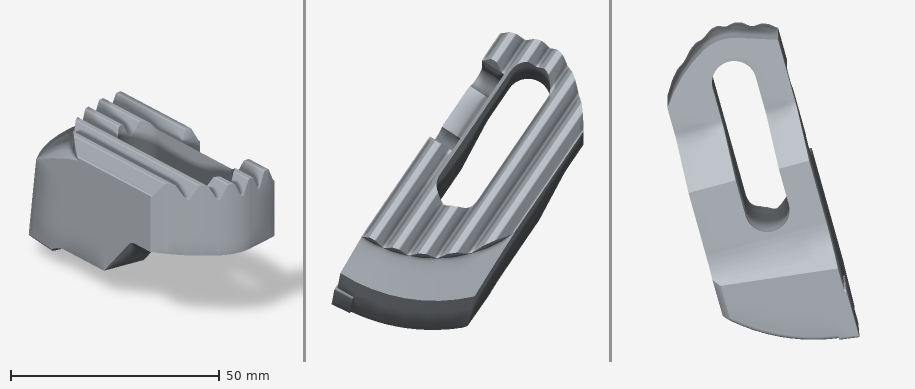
import cadquery as cq
import math

LENGTH = 76.0
WIDTH = 30.0
TOP_Z = 35.2
MARGIN = 3.8
BACK_Y = 0.0
FRONT_Y = -WIDTH

NOSE_AXIS_X = 44.15
CROWN_RADIUS = 31.85
CROWN_BASE_Z = 30.8
SHOULDER_RADIUS = 41.05
SHOULDER_Z = 25.4
WALL_LEAN = 6.0

TIP_BACK_X = 72.4
TIP_START = (75.5, -9.3)
TIP_END = (74.7, -17.85)
TIP_CURVE_MIDDLE = (70.4, -23.95)
TIP_FRONT_X = 63.3

FOOT_Z = 17.0
KEEL_Z = 5.8
STEP_X = 44.15
STEP_FILLET = 3.65
HEEL_X = 28.35
HEEL_RADIUS = 11.0
RAMP_ANGLE = 45.0
SOLE_LOW_X = 18.0
SOLE_TILT_X = 5.0
SOLE_TILT_Y = 6.0
SOLE_CHAMFER_UP = 1.3
SOLE_CHAMFER_IN = 1.6
SOLE_FILLET = 0.8

TOOTH_COUNT = 5
TOOTH_PITCH = WIDTH / TOOTH_COUNT
TOOTH_TOP = 1.6
TOOTH_GAP = 0.6
TOOTH_HEIGHT = 3.7
TOOTH_ROUNDING = 0.45
VALLEY_Z = TOP_Z - TOOTH_HEIGHT

SLOT_X = (29.7, 70.4)
SLOT_Y = -12.9
SLOT_WIDTH = 10.7

WINDOW_X = (41.9, 64.45)
WINDOW_DEPTH_Y = 6.45
WINDOW_FLARE = 0.75
GROOVE_WIDTH = 5.25
LAND_Z = 22.8

PLATE_LENGTH = 12.5
PLATE_HEIGHT = 12.55
PLATE_FILLET = 0.7
PLATE_PROUD = 0.45
PLATE_INNER_Y = -4.4
PLATE_CORNER = (-0.1, 0, 1.5)
PLATE_TURN = 6.0

LETTER_STROKE = 1.6
LETTER_DEPTH = 0.75
LETTER_PATH = [
    (25.45, 18.25), (24.5, 20.75), (22.0, 21.8), (19.45, 20.75), (18.55, 18.3), (20.1, 16.2),
    (24.0, 14.6), (25.85, 12.15), (24.8, 9.8), (22.3, 8.8), (19.6, 9.8), (18.25, 12.9),
]


def nose_envelope():
    """Crown, conical shoulder and leaning wall, open toward the tip."""
    bottom_z = -MARGIN
    bottom_radius = SHOULDER_RADIUS + (SHOULDER_Z - bottom_z) * math.tan(math.radians(WALL_LEAN))
    rings = (
        cq.Workplane("XZ", origin=(NOSE_AXIS_X, 0, 0))
        .polyline([
            (0, bottom_z),
            (bottom_radius, bottom_z),
            (SHOULDER_RADIUS, SHOULDER_Z),
            (CROWN_RADIUS, CROWN_BASE_Z),
            (CROWN_RADIUS, TOP_Z),
            (0, TOP_Z),
        ])
        .close()
        .revolve(360, (0, 0), (0, 1))
    )
    plan = (
        cq.Workplane("XY", origin=(0, 0, bottom_z))
        .polyline([(-MARGIN, BACK_Y), (NOSE_AXIS_X, BACK_Y), (NOSE_AXIS_X, FRONT_Y), (-MARGIN, FRONT_Y)])
        .close()
        .extrude(TOP_Z - bottom_z)
    )
    return rings.intersect(plan)


def tip_block():
    """The straight part of the block with its rounded tip."""
    return (
        cq.Workplane("XY", origin=(0, 0, -MARGIN))
        .moveTo(NOSE_AXIS_X, BACK_Y)
        .lineTo(TIP_BACK_X, BACK_Y)
        .lineTo(*TIP_START)
        .tangentArcPoint(TIP_END, relative=False)
        .threePointArc(TIP_CURVE_MIDDLE, (TIP_FRONT_X, FRONT_Y))
        .lineTo(NOSE_AXIS_X, FRONT_Y)
        .close()
        .extrude(TOP_Z + MARGIN)
    )


def space_below_sole():
    """A large block whose tilted top is the plane of the sole."""
    size = 4 * WIDTH
    return (
        cq.Workplane("XY")
        .box(size, size, size, centered=(True, True, False))
        .translate((0, 0, -size))
        .rotate((0, 0, 0), (1, 0, 0), -SOLE_TILT_Y)
        .rotate((0, 0, 0), (0, 1, 0), SOLE_TILT_X)
        .translate((SOLE_LOW_X, BACK_Y, 0))
    )


def nose():
    """Nose with its slanted sole, chamfered at the front face and rounded at the curved wall."""
    body = nose_envelope().cut(space_below_sole())
    body = body.faces("<Z").edges("<Y").chamfer(SOLE_CHAMFER_UP, SOLE_CHAMFER_IN)
    return body.faces("<Z").edges("<X").fillet(SOLE_FILLET)


def underside_cutter():
    """Everything below the foot, the sloped step, the keel and the rounded heel with its ramp."""
    def heel_point(degrees):
        angle = math.radians(degrees)
        return HEEL_X - HEEL_RADIUS * math.sin(angle), KEEL_Z - HEEL_RADIUS * (1 - math.cos(angle))

    heel_end = heel_point(RAMP_ANGLE)
    bottom_z = -2 * MARGIN
    slope = math.tan(math.radians(RAMP_ANGLE))
    ramp_bottom_x = heel_end[0] - (heel_end[1] - bottom_z) / slope
    step_top_x = STEP_X + (FOOT_Z - KEEL_Z) / slope
    cutter = (
        cq.Workplane("XZ", origin=(0, MARGIN, 0))
        .moveTo(ramp_bottom_x, bottom_z)
        .lineTo(*heel_end)
        .threePointArc(heel_point(RAMP_ANGLE / 2), (HEEL_X, KEEL_Z))
        .lineTo(STEP_X, KEEL_Z)
        .lineTo(step_top_x, FOOT_Z)
        .lineTo(LENGTH + MARGIN, FOOT_Z)
        .lineTo(LENGTH + MARGIN, bottom_z)
        .close()
        .extrude(WIDTH + 2 * MARGIN)
    )
    step_edge = cq.selectors.NearestToPointSelector((step_top_x, FRONT_Y / 2, FOOT_Z))
    return cutter.edges(step_edge).fillet(STEP_FILLET)


def tooth_envelope():
    """A block whose top carries the rounded teeth."""
    flank = (TOOTH_PITCH - TOOTH_TOP - TOOTH_GAP) / 2
    points = [(FRONT_Y - MARGIN, VALLEY_Z)]
    for index in range(TOOTH_COUNT):
        start = FRONT_Y + index * TOOTH_PITCH + TOOTH_GAP / 2
        points += [
            (start, VALLEY_Z),
            (start + flank, TOP_Z),
            (start + flank + TOOTH_TOP, TOP_Z),
            (start + 2 * flank + TOOTH_TOP, VALLEY_Z),
        ]
    points += [(BACK_Y + MARGIN, VALLEY_Z), (BACK_Y + MARGIN, -MARGIN), (FRONT_Y - MARGIN, -MARGIN)]
    block = cq.Workplane("YZ", origin=(-MARGIN, 0, 0)).polyline(points).close().extrude(LENGTH + 2 * MARGIN)
    tooth_edges = cq.selectors.BoxSelector(
        (-MARGIN, FRONT_Y, VALLEY_Z - MARGIN), (LENGTH + MARGIN, BACK_Y, TOP_Z + MARGIN)
    )
    return block.edges("|X").edges(tooth_edges).fillet(TOOTH_ROUNDING)


def slot_cutter():
    """Vertical slot with rounded ends, through the whole height."""
    length = SLOT_X[1] - SLOT_X[0]
    return (
        cq.Workplane("XY", origin=(sum(SLOT_X) / 2, SLOT_Y, -MARGIN))
        .slot2D(length, SLOT_WIDTH)
        .extrude(TOP_Z + 2 * MARGIN)
    )


def window_cutter():
    """Opening in the back wall, flaring between the teeth, with a groove at each end of the land."""
    left, right = WINDOW_X
    radius = GROOVE_WIDTH / 2
    return (
        cq.Workplane("XZ", origin=(0, BACK_Y + MARGIN, 0))
        .moveTo(left - WINDOW_FLARE, TOP_Z)
        .lineTo(left, VALLEY_Z)
        .lineTo(left, LAND_Z)
        .threePointArc((left + radius, LAND_Z - radius), (left + GROOVE_WIDTH, LAND_Z))
        .lineTo(right - GROOVE_WIDTH, LAND_Z)
        .threePointArc((right - radius, LAND_Z - radius), (right, LAND_Z))
        .lineTo(right, VALLEY_Z)
        .lineTo(right + WINDOW_FLARE, TOP_Z)
        .close()
        .extrude(WINDOW_DEPTH_Y + MARGIN)
    )


def make_letter():
    """Letter S swept along its centre line, from the front face inward."""
    path = cq.Workplane("XZ", origin=(0, FRONT_Y + LETTER_DEPTH / 2, 0)).spline(LETTER_PATH)
    start = path.val().startPoint()
    direction = path.val().tangentAt(0)
    section = cq.Plane(origin=start, xDir=(0, 1, 0), normal=direction)
    return cq.Workplane(section).rect(LETTER_DEPTH, LETTER_STROKE).sweep(path)


def make_plate():
    """Corner plate at the back end of the nose wall, with the edges along Y rounded."""
    inner_x = (PLATE_PROUD - PLATE_INNER_Y) * math.tan(math.radians(PLATE_TURN))
    block = (
        cq.Workplane("XY", origin=(0, 0, -MARGIN))
        .polyline([
            (0, PLATE_PROUD),
            (PLATE_LENGTH, PLATE_PROUD),
            (PLATE_LENGTH, PLATE_INNER_Y),
            (inner_x, PLATE_INNER_Y),
        ])
        .close()
        .extrude(PLATE_HEIGHT + MARGIN)
        .rotate((0, 0, 0), (0, 1, 0), WALL_LEAN)
        .translate(PLATE_CORNER)
        .cut(space_below_sole())
    )
    edges_along_y = block.edges("not (>Y or <Y)")
    return edges_along_y.fillet(PLATE_FILLET)


def make_housing(plate, letter):
    """Toothed block with its cuts and the recesses for the plate and the letter."""
    body = nose().union(tip_block()).intersect(tooth_envelope())
    for cutter in (underside_cutter(), slot_cutter(), window_cutter(), plate, letter):
        body = body.cut(cutter)
    return body


plate = make_plate()
letter = make_letter()
housing = make_housing(plate, letter)
result = cq.Compound.makeCompound([housing.solids().val(), plate.solids().val(), letter.val()])